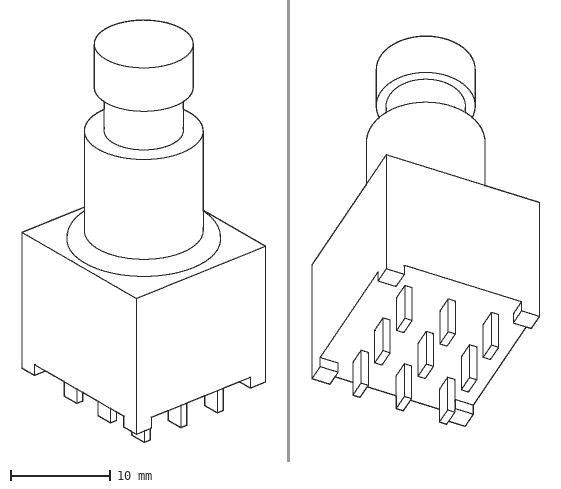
import cadquery as cq

housing_length = 18.0
housing_width = 17.0
housing_height = 14.4

collar_diameter = 15.5
collar_height = 1.0
collar_round = 0.8

bushing_diameter = 12.0
bushing_height = 12.5
plunger_diameter = 8.0
plunger_height = 5.0
cap_diameter = 10.0
cap_height = 5.0

foot_size = 2.0
foot_height = 1.25

terminal_width = 2.0
terminal_thickness = 0.8
terminal_length = 4.5
terminal_pitch_x = 5.3
terminal_pitch_y = 4.8
terminals_per_side = 3


def cylinder(diameter, height, base_z):
    """Cylinder on the Z axis, standing on base_z."""
    return cq.Workplane("XY").workplane(offset=base_z).circle(diameter / 2).extrude(height)


def block(length, width, height):
    """Box centred on the Z axis, standing on Z = 0."""
    return cq.Workplane("XY").rect(length, width).extrude(height)


def make_collar():
    """Flat disc with a rounded upper rim."""
    disc = cylinder(collar_diameter, collar_height, housing_height)
    return disc.faces(">Z").edges().fillet(collar_round)


def make_button():
    """Bushing with the plunger and its wider cap on top."""
    plunger_base = housing_height + bushing_height
    cap_base = plunger_base + plunger_height
    bushing = cylinder(bushing_diameter, bushing_height, housing_height)
    plunger = cylinder(plunger_diameter, plunger_height, plunger_base)
    cap = cylinder(cap_diameter, cap_height, cap_base)
    return bushing.union(plunger).union(cap)


def make_feet():
    """Four feet flush with the sides of the housing."""
    return (
        cq.Workplane("XY")
        .rarray(housing_length - foot_size, housing_width - foot_size, 2, 2)
        .rect(foot_size, foot_size)
        .extrude(-foot_height)
    )


def make_terminals():
    """Rows and columns of flat terminals, wide along X."""
    return (
        cq.Workplane("XY")
        .rarray(terminal_pitch_x, terminal_pitch_y, terminals_per_side, terminals_per_side)
        .rect(terminal_width, terminal_thickness)
        .extrude(-terminal_length)
    )


housing = block(housing_length, housing_width, housing_height)
result = housing.union(make_collar()).union(make_button())
result = result.union(make_feet()).union(make_terminals())